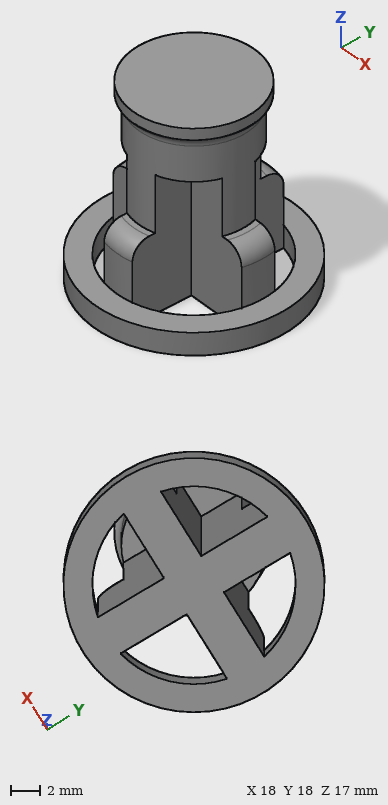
import cadquery as cq
import math

ring_diameter = 18.0
ring_bore = 14.0
ring_height = 2.0

total_height = 17.0
stem_diameter = 10.0
head_diameter = 11.0
head_thickness = 1.0
flare_radius = 1.0

wing_thickness = 3.0
wing_height = 12.0
shoulder_height = 7.0
shoulder_radius = 1.5

ring_radius = ring_diameter / 2
bore_radius = ring_bore / 2
stem_radius = stem_diameter / 2
head_radius = head_diameter / 2
head_base = total_height - head_thickness
flare_angle = math.acos(1 - (head_radius - stem_radius) / flare_radius)
flare_height = flare_radius * math.sin(flare_angle)
flare_base = head_base - flare_height


def make_ring():
    return cq.Workplane("XY").circle(ring_radius).circle(bore_radius).extrude(ring_height)


def make_core():
    """Solid of revolution: wide shoulder, stem, flare and head."""
    shoulder = cq.Workplane("XY").circle(bore_radius).extrude(shoulder_height)
    shoulder = shoulder.faces(">Z").edges().fillet(shoulder_radius)
    stem = cq.Workplane("XY").circle(stem_radius).extrude(total_height)
    flare_middle = (
        stem_radius + flare_radius * (1 - math.cos(flare_angle / 2)),
        flare_base + flare_radius * math.sin(flare_angle / 2),
    )
    head = (
        cq.Workplane("XZ")
        .moveTo(0, flare_base)
        .lineTo(stem_radius, flare_base)
        .threePointArc(flare_middle, (head_radius, head_base))
        .lineTo(head_radius, total_height)
        .lineTo(0, total_height)
        .close()
        .revolve(360, (0, 0), (0, 1))
    )
    return shoulder.union(stem).union(head)


def cut_quadrants(core):
    """Remove the four corner spaces so that only the crossed wings remain."""
    center_offset = (wing_thickness + ring_diameter) / 2
    for side_x in (-1, 1):
        for side_y in (-1, 1):
            pocket = (
                cq.Workplane("XY")
                .center(side_x * center_offset, side_y * center_offset)
                .rect(ring_diameter, ring_diameter)
                .extrude(wing_height)
            )
            core = core.cut(pocket)
    return core


result = make_ring().union(cut_quadrants(make_core()))